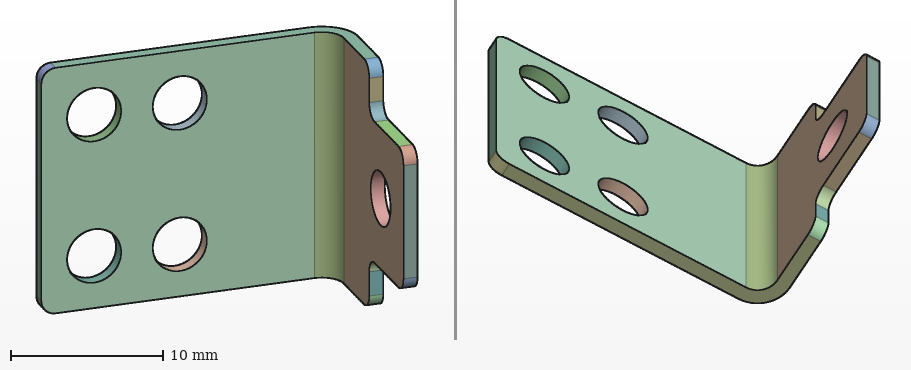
import cadquery as cq

short_leg = 14.0
long_leg = 21.55
height = 17.4

thickness = 1.0
bend_outer_radius = 2.5
bend_inner_radius = bend_outer_radius - thickness
corner_radius = 1.0

shoulder_x = 7.43
tab_height = 10.0
notch_height = (height - tab_height) / 2

hole_diameter = 3.77
tab_hole_x = 9.61
edge_to_first_hole = 3.69
hole_pitch_y = 6.0
hole_pitch_z = 10.0


def bent_sheet():
    """L-shaped sheet, outer bend corner at the X/Y origin, centred on Z."""
    outline = (
        cq.Workplane("XY")
        .moveTo(0, -long_leg)
        .lineTo(thickness, -long_leg)
        .lineTo(thickness, -bend_outer_radius)
        .radiusArc((bend_outer_radius, -thickness), bend_inner_radius)
        .lineTo(short_leg, -thickness)
        .lineTo(short_leg, 0)
        .lineTo(bend_outer_radius, 0)
        .radiusArc((0, -bend_outer_radius), -bend_outer_radius)
        .close()
    )
    return outline.extrude(height / 2, both=True)


def tab_notch(side):
    """Block removed above (side=1) or below (side=-1) the tab."""
    return cq.Workplane("XY").box(
        short_leg - shoulder_x, thickness, notch_height
    ).translate((
        (short_leg + shoulder_x) / 2,
        -thickness / 2,
        side * (tab_height + notch_height) / 2,
    ))


def long_leg_holes():
    """Two-by-two hole pattern through the long leg."""
    pattern_y = -long_leg + edge_to_first_hole + hole_pitch_y / 2
    return (
        cq.Workplane("YZ", origin=(0, pattern_y, 0))
        .rarray(hole_pitch_y, hole_pitch_z, 2, 2)
        .circle(hole_diameter / 2)
        .extrude(thickness)
    )


def tab_hole():
    """Single hole through the short leg."""
    return (
        cq.Workplane("XZ", origin=(tab_hole_x, 0, 0))
        .circle(hole_diameter / 2)
        .extrude(thickness)
    )


bracket = bent_sheet()
for side in (1, -1):
    bracket = bracket.cut(tab_notch(side))

bracket = bracket.faces("<Y").edges("|X").fillet(corner_radius)
stepped_leg_region = cq.selectors.BoxSelector(
    (shoulder_x - thickness, -thickness, -height),
    (short_leg + thickness, thickness, height),
)
bracket = bracket.edges("|Y").edges(stepped_leg_region).fillet(corner_radius)

result = bracket.cut(long_leg_holes()).cut(tab_hole())